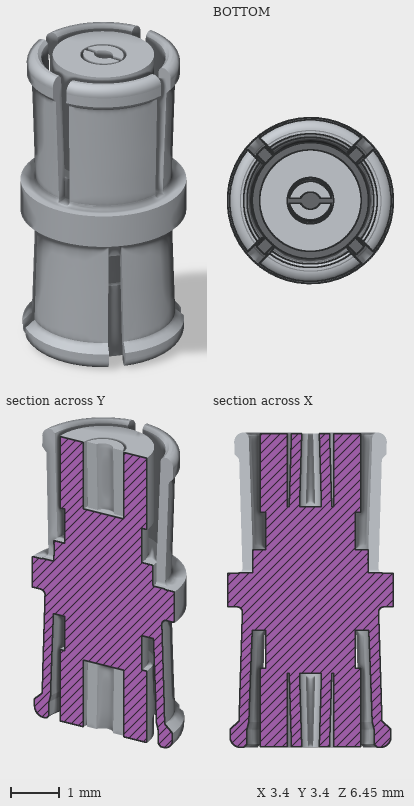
import cadquery as cq
import math


COLLAR_RADIUS = 3.4 / 2
COLLAR_HEIGHT = 0.70
HALF_LENGTH = 6.45 / 2
COLLAR_FACE = COLLAR_HEIGHT / 2

ROOT_FILLET = 0.10
ROOT_RADIUS = 1.40
NECK_RADIUS = 1.47
NECK_Z = 2.68
BORE_ROOT_RADIUS = 1.19
SOCKET_FLOOR = 0.83
TIP_CHAMFER = 0.07
FINGERS = 4

UPPER_BEAD_RADIUS = 1.57
UPPER_BEAD_START = 2.79
UPPER_TIP_FLAT_RADIUS = 1.417
UPPER_MOUTH_RADIUS = 1.277
LOWER_BEAD_RADIUS = 1.655
LOWER_BEAD_START = 2.85
LOWER_TIP_FLAT_RADIUS = 1.44
LOWER_MOUTH_RADIUS = 1.30
BEAD_ROUND_START = 3.00
LOWER_BORE_FLARE_START = 2.70
LOWER_BORE_FLARE_RADIUS = 1.26

SLOT_FLOOR = 0.365
SLOT_FLOOR_WIDTH = 0.23
SLOT_CORNER_HEIGHT = 0.06
SLOT_ROOT_WIDTH = 0.265
SLOT_TIP_WIDTH = 0.345
UPPER_SLOT_ANGLE = 0
LOWER_SLOT_ANGLE = 45

INSULATOR_RADIUS = 2.08 / 2
INSULATOR_NECK_RADIUS = 1.85 / 2
INSULATOR_STEP = 1.59
INSULATOR_FACE = 3.21

CONTACT_HOLE_RADIUS = 0.95 / 2
CONTACT_RADIUS = 0.44
CONTACT_BORE_RADIUS = 0.22
CONTACT_DEPTH = 1.50
ARM_TIP_SHIFT = 0.045
CONTACT_TIP_GAP = 0.105


def finger_shell(bead_radius, bead_start, flat_radius, bore_profile, slot_angle):
    """Slotted, slightly flared sleeve standing on the collar, open towards +Z.

    bore_profile lists (radius, Z) points of the bore from the mouth down to the socket floor.
    """
    mouth_radius = bore_profile[0][0]
    fillet_end = COLLAR_FACE + ROOT_FILLET
    quarter = math.sin(math.pi / 4)
    fillet_mid = (
        ROOT_RADIUS + ROOT_FILLET * (1 - quarter),
        fillet_end - ROOT_FILLET * quarter,
    )
    round_mid = (
        flat_radius + (bead_radius - flat_radius) * quarter,
        BEAD_ROUND_START + (HALF_LENGTH - BEAD_ROUND_START) * quarter,
    )
    sleeve = (
        cq.Workplane("XZ")
        .moveTo(BORE_ROOT_RADIUS, 0)
        .lineTo(ROOT_RADIUS + ROOT_FILLET, 0)
        .lineTo(ROOT_RADIUS + ROOT_FILLET, COLLAR_FACE)
        .threePointArc(fillet_mid, (ROOT_RADIUS, fillet_end))
        .lineTo(NECK_RADIUS, NECK_Z)
        .lineTo(bead_radius, bead_start)
        .lineTo(bead_radius, BEAD_ROUND_START)
        .threePointArc(round_mid, (flat_radius, HALF_LENGTH))
        .lineTo(mouth_radius + TIP_CHAMFER, HALF_LENGTH)
    )
    for point in bore_profile:
        sleeve = sleeve.lineTo(*point)
    sleeve = sleeve.close().revolve(360, (0, 0, 0), (0, 1, 0))
    slot = (
        cq.Workplane("XZ")
        .moveTo(0, HALF_LENGTH)
        .lineTo(SLOT_TIP_WIDTH / 2, HALF_LENGTH)
        .lineTo(SLOT_ROOT_WIDTH / 2, SLOT_FLOOR + SLOT_CORNER_HEIGHT)
        .tangentArcPoint((SLOT_FLOOR_WIDTH / 2, SLOT_FLOOR), relative=False)
        .lineTo(0, SLOT_FLOOR)
        .mirrorY()
        .extrude(COLLAR_RADIUS)
    )
    for i in range(FINGERS):
        sleeve = sleeve.cut(slot.rotate((0, 0, 0), (0, 0, 1), slot_angle + i * 360 / FINGERS))
    return sleeve


def cylinder(radius, bottom, top):
    return cq.Workplane("XY").workplane(offset=bottom).circle(radius).extrude(top - bottom)


def insulator():
    """Stepped core from Z = 0 to the insulator face, bored for the contact."""
    core = cylinder(BORE_ROOT_RADIUS, 0, SOCKET_FLOOR)
    core = core.union(cylinder(INSULATOR_NECK_RADIUS, 0, INSULATOR_STEP))
    core = core.union(cylinder(INSULATOR_RADIUS, INSULATOR_STEP, INSULATOR_FACE))
    return core.cut(cylinder(CONTACT_HOLE_RADIUS, INSULATOR_FACE - CONTACT_DEPTH, INSULATOR_FACE))


def contact_arms():
    """Two half tubes tilted towards each other, split along X."""
    root = INSULATOR_FACE - CONTACT_DEPTH
    tilt = math.degrees(math.atan2(ARM_TIP_SHIFT, CONTACT_DEPTH))
    split_offset = CONTACT_TIP_GAP / 2 + ARM_TIP_SHIFT
    overlap = CONTACT_RADIUS / 2
    tube = cylinder(CONTACT_RADIUS, root - overlap, INSULATOR_FACE + overlap)
    tube = tube.cut(cylinder(CONTACT_BORE_RADIUS, root - overlap, INSULATOR_FACE + overlap))
    half_block = (
        cq.Workplane("XY")
        .workplane(offset=root - overlap)
        .center(0, split_offset + CONTACT_RADIUS / 2)
        .rect(2 * CONTACT_RADIUS, CONTACT_RADIUS)
        .extrude(CONTACT_DEPTH + 2 * overlap)
    )
    arm = tube.intersect(half_block).rotate((0, 0, root), (1, 0, root), tilt)
    arm = arm.intersect(cylinder(CONTACT_HOLE_RADIUS, root - overlap, INSULATOR_FACE))
    return arm.union(arm.mirror("XZ"))


def connector_end(bead_radius, bead_start, flat_radius, bore_profile, slot_angle):
    shell = finger_shell(bead_radius, bead_start, flat_radius, bore_profile, slot_angle)
    return shell.union(insulator()).union(contact_arms())


upper_bore = [
    (UPPER_MOUTH_RADIUS, HALF_LENGTH - TIP_CHAMFER),
    (BORE_ROOT_RADIUS, SOCKET_FLOOR),
]
lower_bore = [
    (LOWER_MOUTH_RADIUS, HALF_LENGTH - TIP_CHAMFER),
    (LOWER_MOUTH_RADIUS, LOWER_BEAD_START),
    (LOWER_BORE_FLARE_RADIUS, LOWER_BORE_FLARE_START),
    (BORE_ROOT_RADIUS, SOCKET_FLOOR),
]

upper_end = connector_end(
    UPPER_BEAD_RADIUS, UPPER_BEAD_START, UPPER_TIP_FLAT_RADIUS, upper_bore, UPPER_SLOT_ANGLE
)
lower_end = connector_end(
    LOWER_BEAD_RADIUS, LOWER_BEAD_START, LOWER_TIP_FLAT_RADIUS, lower_bore, LOWER_SLOT_ANGLE
).mirror("XY")
collar = cylinder(COLLAR_RADIUS, -COLLAR_FACE, COLLAR_FACE)

result = collar.union(upper_end).union(lower_end)